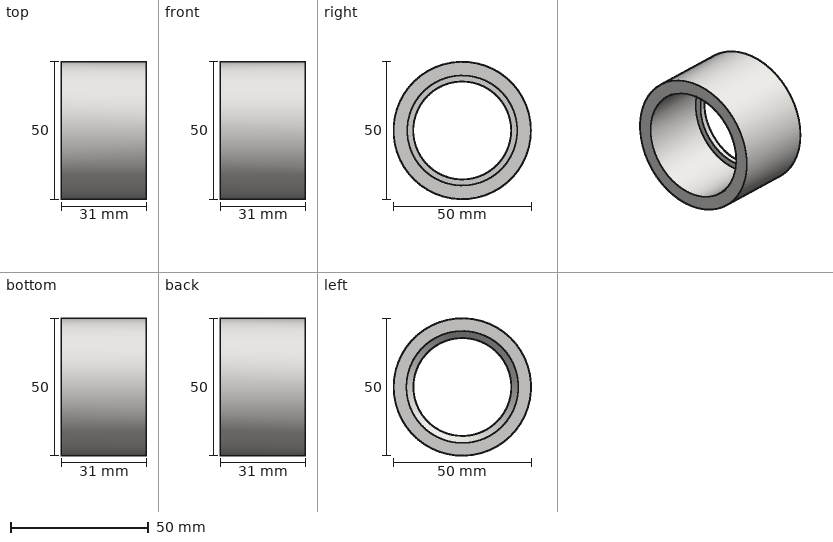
import cadquery as cq

length = 31.0
outer_diameter = 50.0
lip_diameter = 35.5
bore_diameter = 40.0
mouth_diameter = 40.7
lip_depth = 5.0

outer_radius = outer_diameter / 2
lip_radius = lip_diameter / 2
bore_radius = bore_diameter / 2
mouth_radius = mouth_diameter / 2
mouth_depth = mouth_radius - lip_radius

x_start = -length / 2
x_end = length / 2
x_lip_start = x_start + mouth_depth
x_lip_end = x_start + lip_depth


def make_sleeve():
    """Revolve the wall section, drawn as (X, radius), around the X axis."""
    wall_section = [
        (x_start, mouth_radius),
        (x_start, outer_radius),
        (x_end, outer_radius),
        (x_end, bore_radius),
        (x_lip_end, bore_radius),
        (x_lip_end, lip_radius),
        (x_lip_start, lip_radius),
    ]
    return cq.Workplane("XY").polyline(wall_section).close().revolve(360, (0, 0, 0), (1, 0, 0))


result = make_sleeve()